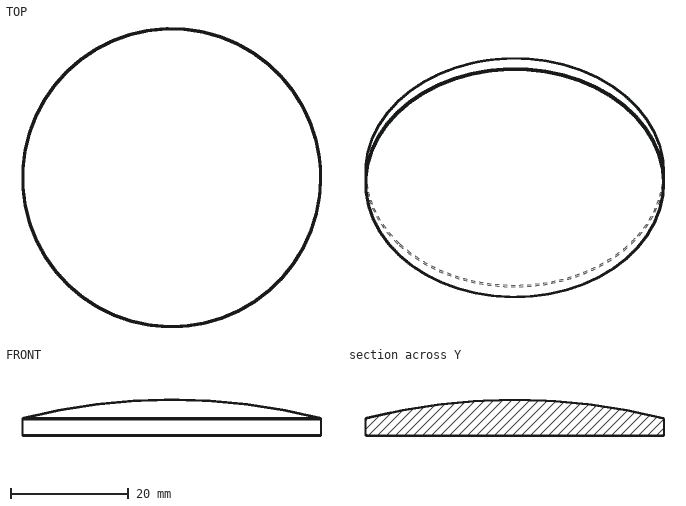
import cadquery as cq

diameter = 50.8
centre_thickness = 6.18
edge_thickness = 3.0
bevel = 0.18

radius = diameter / 2
sagitta = centre_thickness - edge_thickness
dome_radius = (radius**2 + sagitta**2) / (2 * sagitta)


def make_lens_blank():
    """Disc of full height, trimmed on top by the dome sphere."""
    disc = cq.Workplane("XY").circle(radius).extrude(centre_thickness)
    dome_centre_z = centre_thickness - dome_radius
    dome_sphere = cq.Workplane("XY").sphere(dome_radius).translate((0, 0, dome_centre_z))
    return disc.intersect(dome_sphere)


def bevel_rims(lens):
    """Break the circular edges of the top and bottom rims."""
    return lens.edges("%CIRCLE").chamfer(bevel)


result = bevel_rims(make_lens_blank())